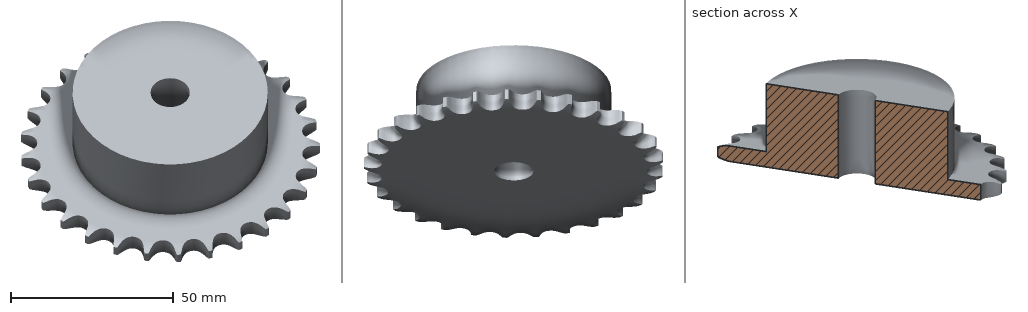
import cadquery as cq
import math

overall_width = 91.9
overall_height = 28.0
plate_thickness = 5.3
hub_diameter = 60.0
bore_diameter = 12.0

tooth_count = 29
pitch_diameter = 88.15
seat_radius = 3.2
seat_half_angle = 53.0
flank_radius = 8.3
flank_angle = 16.0
flank_straight = 0.8
topping_radius = 5.15
topping_angle = 20.0
tip_half_angle = 0.7

relief_start_radius = 41.6
relief_radius = 10.0

tooth_angle = 360.0 / tooth_count
widest_corner_angle = tooth_angle / 4 - tip_half_angle
tip_radius = overall_width / 2 / math.cos(math.radians(widest_corner_angle))


def shifted(point, distance, angle):
    """Move a point by a distance; the angle turns from -Y towards +X."""
    turn = math.radians(angle)
    return (point[0] + distance * math.sin(turn), point[1] - distance * math.cos(turn))


def half_gap():
    """Half of the gap between two teeth, on the +X side of a gap centred on +Y."""
    flank_end_angle = seat_half_angle + flank_angle
    seat_center = (0, pitch_diameter / 2)
    seat_bottom = shifted(seat_center, seat_radius, 0)
    seat_middle = shifted(seat_center, seat_radius, seat_half_angle / 2)
    seat_end = shifted(seat_center, seat_radius, seat_half_angle)

    flank_center = shifted(seat_end, -flank_radius, seat_half_angle)
    flank_middle = shifted(flank_center, flank_radius, seat_half_angle + flank_angle / 2)
    flank_end = shifted(flank_center, flank_radius, flank_end_angle)
    straight_end = shifted(flank_end, flank_straight, flank_end_angle + 90)

    topping_center = shifted(straight_end, topping_radius, flank_end_angle)
    topping_middle = shifted(topping_center, -topping_radius, flank_end_angle - topping_angle / 2)
    topping_end = shifted(topping_center, -topping_radius, flank_end_angle - topping_angle)

    return (
        cq.Workplane("XY")
        .moveTo(*seat_bottom)
        .threePointArc(seat_middle, seat_end)
        .threePointArc(flank_middle, flank_end)
        .lineTo(*straight_end)
        .threePointArc(topping_middle, topping_end)
        .lineTo(0, topping_end[1])
        .close()
        .extrude(plate_thickness)
    )


def plate_blank():
    """Round plate with its rim relieved by an arc tangent to each face."""

    def relief_depth(radius):
        return relief_radius - math.sqrt(relief_radius**2 - (radius - relief_start_radius) ** 2)

    middle_radius = (relief_start_radius + tip_radius) / 2
    middle_depth = relief_depth(middle_radius)
    tip_depth = relief_depth(tip_radius)
    return (
        cq.Workplane("XZ")
        .moveTo(0, 0)
        .lineTo(relief_start_radius, 0)
        .threePointArc((middle_radius, middle_depth), (tip_radius, tip_depth))
        .lineTo(tip_radius, plate_thickness - tip_depth)
        .threePointArc(
            (middle_radius, plate_thickness - middle_depth), (relief_start_radius, plate_thickness)
        )
        .lineTo(0, plate_thickness)
        .close()
        .revolve(360, (0, 0), (0, 1))
    )


def toothed_plate():
    """Plate with one gap centred on +Y and the others spaced evenly around it."""
    right_half = half_gap()
    gap = right_half.union(right_half.mirror("YZ"))
    plate = plate_blank()
    for index in range(tooth_count):
        plate = plate.cut(gap.rotate((0, 0, 0), (0, 0, 1), index * tooth_angle))
    return plate


hub = cq.Workplane("XY").circle(hub_diameter / 2).extrude(overall_height)
bore = cq.Workplane("XY").circle(bore_diameter / 2).extrude(overall_height)

result = toothed_plate().union(hub).cut(bore)